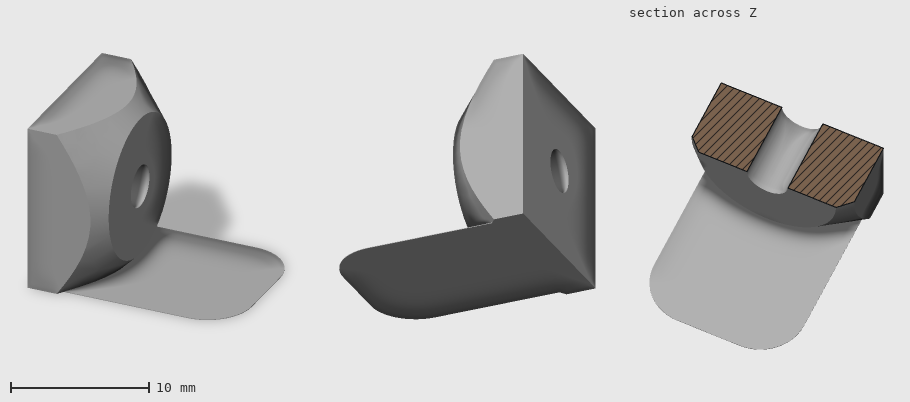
import cadquery as cq

block_side = 13.0
block_depth = 6.0
hole_diameter = 3.25

end_face_radius = 5.5
cone_base_radius = end_face_radius + block_depth

overall_length = 16.0
tongue_width = 12.0
tongue_thickness = 0.05
tongue_corner_radius = 3.5

half_side = block_side / 2


def make_block():
    """Square block whose far end is turned down to a 45 degree cone."""
    square = cq.Workplane("YZ").rect(block_side, block_side).extrude(block_depth)
    cone = cq.Workplane(
        cq.Solid.makeCone(
            cone_base_radius,
            end_face_radius,
            block_depth,
            pnt=cq.Vector(0, 0, 0),
            dir=cq.Vector(1, 0, 0),
        )
    )
    return square.intersect(cone)


def make_tongue():
    """Thin plate along the block's bottom with two rounded free corners."""
    return (
        cq.Workplane("XY")
        .workplane(offset=-half_side)
        .rect(overall_length, tongue_width)
        .extrude(tongue_thickness)
        .translate((overall_length / 2, 0, 0))
        .edges("|Z and >X")
        .fillet(tongue_corner_radius)
    )


def make_bore():
    """Through hole along the block's axis."""
    return cq.Workplane("YZ").circle(hole_diameter / 2).extrude(block_depth)


result = make_block().union(make_tongue()).cut(make_bore())